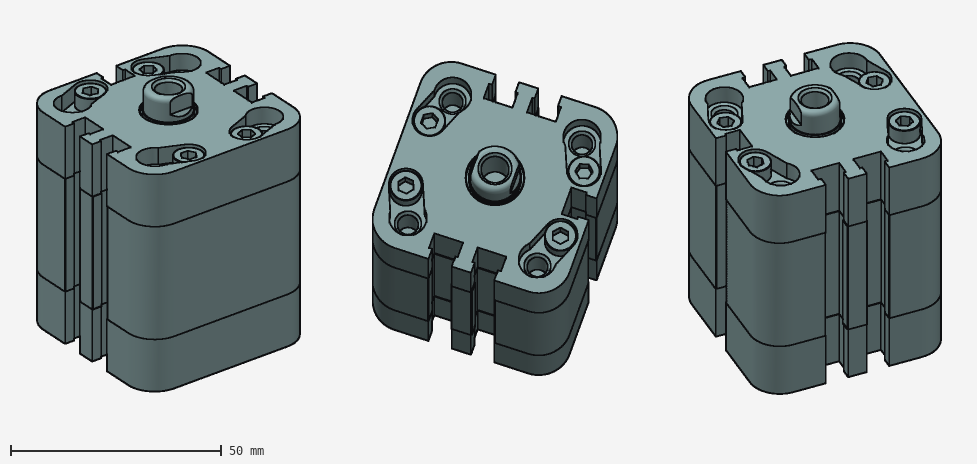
import cadquery as cq
import math


width = 49.0
total_height = 65.5
body_height = 59.15
cap_height = 14.2
corner_radius = 7.7
barrel_height = body_height - 2 * cap_height
cap_joint = body_height - cap_height

lip_depth = 2.7
floor_depth = 6.55
cap_pair_mouth = (2.4, 8.25)
pair_pocket = (1.85, 9.05)
single_mouth = 2.9
single_pocket = 3.55
barrel_floor_depth = 6.35
barrel_pair_mouth = (2.6, 8.25)
barrel_mouth_chamfer = 0.2

hole_offset = 16.25
hole_diameter = 4.9
hole_countersink = 6.35
hole_relief_diameter = 9.0
pocket_depth = 4.5
pocket_width = 8.1
screw_x = 19.4
screw_y = 8.6
screw_head_diameter = 7.5
screw_head_chamfer = 0.1
screw_recess = 0.65
hex_width = 3.6
hex_depth = 3.0
corners = [(-1, 1, -11), (1, 1, -7), (-1, -1, 17), (1, -1, 30)]

rod_diameter = 12.0
rod_fillet = 1.3
rod_flat_width = 10.0
rod_flat_length = 4.25
rod_thread_diameter = 6.6
rod_thread_countersink = 8.0
rod_thread_depth = 11.8
seal_lip_diameter = 12.5
seal_groove_diameter = 13.7
seal_mouth_diameter = 14.0
seal_groove_depth = 1.0


def slot_cutter(mouth, pocket, floor, height, chamfer):
    """T-slot cutter for the -Y face, spanning x = mouth and x = pocket; the mouth may be chamfered."""
    face = -width / 2
    lip = face + lip_depth
    (mouth_left, mouth_right), (pocket_left, pocket_right) = mouth, pocket
    neck = (
        cq.Workplane("XY")
        .moveTo((mouth_left + mouth_right) / 2, (face + lip) / 2)
        .rect(mouth_right - mouth_left, lip_depth)
        .extrude(height)
    )
    cavity = (
        cq.Workplane("XY")
        .moveTo((pocket_left + pocket_right) / 2, face + (lip_depth + floor) / 2)
        .rect(pocket_right - pocket_left, floor - lip_depth)
        .extrude(height)
    )
    cutter = neck.union(cavity)
    if chamfer:
        bevel = (
            cq.Workplane("XY")
            .polyline([
                (mouth_left - chamfer, face),
                (mouth_right + chamfer, face),
                (mouth_right, face + chamfer),
                (mouth_left, face + chamfer),
            ])
            .close()
            .extrude(height)
        )
        cutter = cutter.union(bevel)
    return cutter


def slotted_block(height, pair_mouth, pair_floor, chamfer):
    """Rounded square block with paired T-slots on the Y faces and one T-slot on the -X face."""
    block = cq.Workplane("XY").rect(width, width).extrude(height).edges("|Z").fillet(corner_radius)
    pair_slot = slot_cutter(pair_mouth, pair_pocket, pair_floor, height, chamfer)
    single_slot = slot_cutter(
        (-single_mouth, single_mouth), (-single_pocket, single_pocket), floor_depth, height, chamfer
    ).rotate((0, 0, 0), (0, 0, 1), -90)
    pair = pair_slot.union(pair_slot.mirror("YZ"))
    return block.cut(pair).cut(pair.mirror("XZ")).cut(single_slot)


def cone(bottom_diameter, top_diameter, height, base):
    """Upright frustum standing on the point `base`."""
    return cq.Workplane(cq.Solid.makeCone(bottom_diameter / 2, top_diameter / 2, height, cq.Vector(*base)))


def cylinder(diameter, height, base):
    """Upright cylinder standing on the point `base`."""
    return cq.Workplane("XY", origin=base).circle(diameter / 2).extrude(height)


def corner_pocket(x_side, y_side):
    """Pocket round a mounting hole and its screw, with the countersunk mounting hole below it."""
    hole_x, hole_y = x_side * hole_offset, y_side * hole_offset
    head_x, head_y = x_side * screw_x, y_side * screw_y
    floor = body_height - pocket_depth
    run_x, run_y = head_x - hole_x, head_y - hole_y
    spacing = math.hypot(run_x, run_y)
    channel = (
        cq.Workplane("XY", origin=((hole_x + head_x) / 2, (hole_y + head_y) / 2, floor))
        .slot2D(spacing + pocket_width, pocket_width, math.degrees(math.atan2(run_y, run_x)))
        .extrude(pocket_depth)
    )
    relief = cylinder(hole_relief_diameter, pocket_depth, (hole_x, hole_y, floor))
    hole = cylinder(hole_diameter, floor - cap_joint, (hole_x, hole_y, cap_joint))
    sink_depth = (hole_countersink - hole_diameter) / 2
    sink = cone(hole_diameter, hole_countersink, sink_depth, (hole_x, hole_y, floor - sink_depth))
    return channel.union(relief).union(hole).union(sink)


def screw_head(x_side, y_side, hex_turn):
    """Socket head standing on the pocket floor."""
    base = (x_side * screw_x, y_side * screw_y, body_height - pocket_depth)
    head_height = pocket_depth - screw_recess
    head = cylinder(screw_head_diameter, head_height, base).faces(">Z").chamfer(screw_head_chamfer)
    socket = (
        cq.Workplane("XY")
        .polygon(6, hex_width / math.cos(math.pi / 6))
        .extrude(hex_depth)
        .rotate((0, 0, 0), (0, 0, 1), hex_turn)
        .translate((base[0], base[1], body_height - screw_recess - hex_depth))
    )
    return head.cut(socket)


def seal_groove():
    """Chamfered ring groove that leaves a thin lip round the rod."""
    groove = cylinder(seal_groove_diameter, seal_groove_depth, (0, 0, body_height - seal_groove_depth))
    mouth_depth = (seal_mouth_diameter - seal_groove_diameter) / 2
    mouth = cone(seal_groove_diameter, seal_mouth_diameter, mouth_depth, (0, 0, body_height - mouth_depth))
    lip = cylinder(seal_lip_diameter, seal_groove_depth, (0, 0, body_height - seal_groove_depth))
    return groove.union(mouth).cut(lip)


def make_front_cap():
    cap = slotted_block(cap_height, cap_pair_mouth, floor_depth, 0).translate((0, 0, cap_joint))
    cap = cap.cut(cylinder(rod_diameter, cap_height, (0, 0, cap_joint))).cut(seal_groove())
    for x_side, y_side, hex_turn in corners:
        cap = cap.cut(corner_pocket(x_side, y_side))
        cap = cap.union(screw_head(x_side, y_side, hex_turn))
    return cap


def make_barrel():
    barrel = slotted_block(barrel_height, barrel_pair_mouth, barrel_floor_depth, barrel_mouth_chamfer)
    return barrel.translate((0, 0, cap_height))


def make_rear_cap():
    return slotted_block(cap_height, cap_pair_mouth, floor_depth, 0)


def make_rod():
    """Rod standing on the barrel, with wrench flats on the X sides and a threaded hole in its end."""
    rod = cylinder(rod_diameter, total_height - cap_joint, (0, 0, cap_joint))
    rod = rod.faces(">Z").edges().fillet(rod_fillet)
    flat_x = rod_flat_width / 2
    flat_bottom = total_height - rod_flat_length
    bevel_run = rod_diameter / 2 - flat_x
    flat = (
        cq.Workplane("XZ")
        .polyline([
            (flat_x, total_height),
            (flat_x, flat_bottom),
            (flat_x + bevel_run, flat_bottom - bevel_run),
            (flat_x + bevel_run, total_height),
        ])
        .close()
        .extrude(rod_diameter / 2, both=True)
    )
    rod = rod.cut(flat).cut(flat.mirror("YZ"))
    thread_hole = cylinder(rod_thread_diameter, rod_thread_depth, (0, 0, total_height - rod_thread_depth))
    sink_depth = (rod_thread_countersink - rod_thread_diameter) / 2
    sink = cone(rod_thread_diameter, rod_thread_countersink, sink_depth, (0, 0, total_height - sink_depth))
    return rod.cut(thread_hole).cut(sink)


front_cap = make_front_cap()
barrel = make_barrel()
rear_cap = make_rear_cap()
rod = make_rod()

result = cq.Compound.makeCompound([front_cap.val(), barrel.val(), rear_cap.val(), rod.val()])